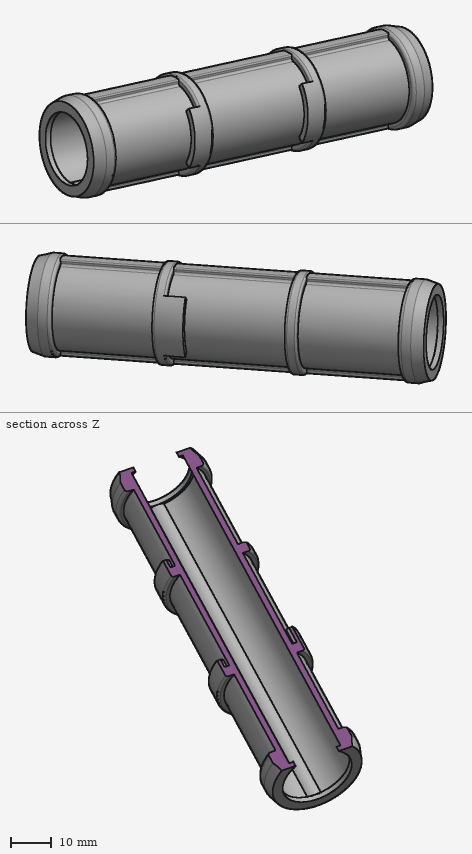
import cadquery as cq
import math

length = 100.3
mouth_radius = 18.5 / 2
bore_radius = 9.9
body_radius = 22.3 / 2
outer_radius = 25.7 / 2

lip_length = 1.5
ridge_half_width = 1.8

flange_width = 6.4
taper_length = 3.1
taper_end_radius = 11.9
flange_round = 0.9

collar_width = 3.1
collar_round = 0.6
collar_offset = length / 6

tab_half_angle = 37.0
short_tab_length = 5.6
long_tab_length = 7.9

rib_top_radius = 12.5
rib_half_width = 2.0
rib_top_round = 0.4
rib_root_round = 0.7


def revolve_about_y(profile):
    """Revolve an (X, Y) half profile about the Y axis."""
    return profile.close().revolve(360, (0, 0, 0), (0, 1, 0))


def make_flange():
    """Flange at the +Y end of the tube."""
    end = length / 2
    shoulder = end - flange_width
    arc_inset = flange_round * (1 - math.sqrt(0.5))
    profile = (
        cq.Workplane("XY")
        .moveTo(0, end)
        .lineTo(taper_end_radius, end)
        .lineTo(outer_radius, end - taper_length)
        .lineTo(outer_radius, shoulder + flange_round)
        .threePointArc(
            (outer_radius - arc_inset, shoulder + arc_inset),
            (outer_radius - flange_round, shoulder),
        )
        .lineTo(0, shoulder)
    )
    return revolve_about_y(profile)


def cylinder(radius, y_low, y_high):
    """Solid cylinder on the Y axis between two stations."""
    return cq.Workplane("XZ", origin=(0, y_high, 0)).circle(radius).extrude(y_high - y_low)


def make_wedge(side):
    """Full-length sector on the +X (side = 1) or -X (side = -1) side, wider than the part."""
    reach_x = side * 2 * outer_radius
    reach_z = abs(reach_x) * math.tan(math.radians(tab_half_angle))
    return (
        cq.Workplane("XZ", origin=(0, length / 2, 0))
        .polyline([(0, 0), (reach_x, reach_z), (reach_x, -reach_z)])
        .close()
        .extrude(length)
    )


def make_collar(center_y, tab_lengths):
    """Round-edged ring, plus sector tabs given as {side: tab length} pairs."""
    y_high = center_y + collar_width / 2
    collar = cylinder(outer_radius, y_high - collar_width, y_high).edges().fillet(collar_round)
    for side, tab_length in tab_lengths.items():
        wedge = make_wedge(side)
        tab_disc = cylinder(outer_radius, y_high - tab_length, y_high).edges(">Y").fillet(collar_round)
        collar = collar.cut(wedge).union(tab_disc.intersect(wedge))
    return collar


def make_ribbed_body():
    """Solid rod with a round-topped rib along its top and bottom, blended at the roots."""
    half_length = length / 2
    rib_bar = (
        cylinder(rib_top_radius, -half_length, half_length)
        .intersect(cq.Workplane("XY").box(2 * rib_half_width, length, 2 * outer_radius))
        .edges("|Y")
        .fillet(rib_top_round)
    )
    root_z = math.sqrt(body_radius**2 - rib_half_width**2)
    body = cylinder(body_radius, -half_length, half_length).union(rib_bar)
    for side_x in (-1, 1):
        for side_z in (-1, 1):
            root = (side_x * rib_half_width, 0, side_z * root_z)
            body = body.edges(cq.NearestToPointSelector(root)).fillet(rib_root_round)
    return body.intersect(cylinder(outer_radius, -half_length + taper_length, half_length - taper_length))


def make_bore():
    """Hollow of the tube: a wide bore with a floor ridge, and a narrower mouth at each end."""
    half_bore = length / 2 - lip_length
    ridge_base_z = -math.sqrt(bore_radius**2 - ridge_half_width**2)
    bore = (
        cq.Workplane("XZ", origin=(0, half_bore, 0))
        .moveTo(-ridge_half_width, ridge_base_z)
        .threePointArc((0, bore_radius), (ridge_half_width, ridge_base_z))
        .threePointArc((0, -mouth_radius), (-ridge_half_width, ridge_base_z))
        .close()
        .extrude(2 * half_bore)
    )
    return bore.union(cylinder(mouth_radius, -length / 2, length / 2))


flange = make_flange()

result = (
    make_ribbed_body()
    .union(flange)
    .union(flange.mirror("XZ"))
    .union(make_collar(collar_offset, {-1: long_tab_length, 1: short_tab_length}))
    .union(make_collar(-collar_offset, {1: short_tab_length}))
    .cut(make_bore())
)